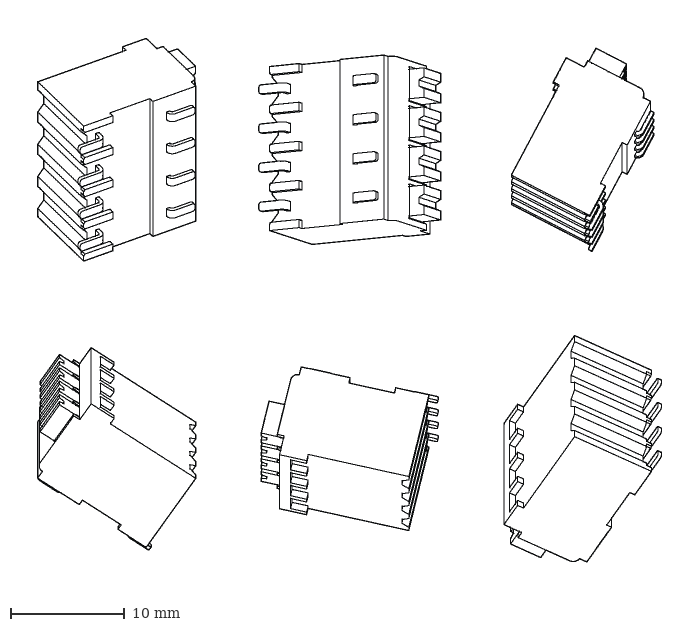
import cadquery as cq


POLES = 4
PITCH = 3.5
END_WALL = 0.7
ROW_LENGTH = POLES * PITCH + END_WALL
POLE_HEIGHTS = [END_WALL / 2 + PITCH * (i + 0.5) for i in range(POLES)]

OVERALL_WIDTH = 9.0
FLANGE_DEPTH = 0.6
HOUSING_RIGHT = 8.4
RELIEF_X = 7.9
RELIEF_BOTTOM = 3.0
RELIEF_TOP = 7.12
FLANGE_BOTTOM = 9.1
SHOULDER_Y = 11.55
CROWN_Y = 12.18
CROWN_LEFT = 1.8
CROWN_RADIUS = CROWN_Y - SHOULDER_Y
CROWN_RIGHT = 7.65

POCKET_WIDTH = 2.74
MOUTH_WIDTH = 3.12
BUTTON_MOUTH_DEPTH = 0.3
PIN_MOUTH_DEPTH = 0.12
FLANGE_POCKET_TOP = 10.55

GROOVE_MOUTH_WIDTH = 2.4
GROOVE_FLOOR_WIDTH = 1.0
GROOVE_DEPTH = 0.62

BUTTON_LEFT = 1.86
BUTTON_RIGHT = 4.92
BUTTON_TOP = 13.65
BUTTON_WIDTH = 2.64
NOTCH_MOUTH_WIDTH = 1.04
NOTCH_FLOOR_WIDTH = 0.54
NOTCH_DEPTH = 0.5

PIN_TIP_OVERHANG = 0.73
PIN_THICKNESS = 0.35
PIN_WIDTH = 0.82
PIN_BEND_RADIUS = 0.58
PIN_TIP_RADIUS = 0.25
LOWER_PIN_Y = 1.87
UPPER_PIN_Y = 8.53
UPPER_PIN_TIP_Y = 11.1
PIN_ROOT_X = RELIEF_X - 0.5


def box(x_range, y_range, z_range):
    """Axis-aligned box between the given limits."""
    size = [high - low for low, high in (x_range, y_range, z_range)]
    corner = (x_range[0], y_range[0], z_range[0])
    return cq.Workplane("XY").box(*size, centered=False).translate(corner)


def centred_range(centre, width):
    return (centre - width / 2, centre + width / 2)


def prism_along_x(points, x_range):
    """Extrude a (Y, Z) outline between two X positions."""
    start, end = x_range
    return cq.Workplane("YZ", origin=(start, 0, 0)).polyline(points).close().extrude(end - start)


def trapezoid_cut(z, mouth_y, mouth_width, floor_y, floor_width, x_range):
    """Prism along X whose width changes from its mouth to its floor."""
    points = [
        (mouth_y, z - mouth_width / 2),
        (mouth_y, z + mouth_width / 2),
        (floor_y, z + floor_width / 2),
        (floor_y, z - floor_width / 2),
    ]
    return prism_along_x(points, x_range)


def flared_pocket(z, mouth_y, mouth_depth, floor_y, x_range):
    """Straight pocket along Y whose mouth widens over the mouth depth."""
    inward = 1 if floor_y > mouth_y else -1
    throat_y = mouth_y + inward * mouth_depth
    flare = trapezoid_cut(z, mouth_y, MOUTH_WIDTH, throat_y, POCKET_WIDTH, x_range)
    y_range = (min(throat_y, floor_y), max(throat_y, floor_y))
    return flare.union(box(x_range, y_range, centred_range(z, POCKET_WIDTH)))


def housing():
    return (
        cq.Workplane("XY")
        .moveTo(FLANGE_DEPTH, 0)
        .lineTo(HOUSING_RIGHT, 0)
        .lineTo(HOUSING_RIGHT, RELIEF_BOTTOM)
        .lineTo(RELIEF_X, RELIEF_BOTTOM)
        .lineTo(RELIEF_X, RELIEF_TOP)
        .lineTo(HOUSING_RIGHT, RELIEF_TOP)
        .lineTo(HOUSING_RIGHT, SHOULDER_Y)
        .lineTo(CROWN_RIGHT, SHOULDER_Y)
        .radiusArc((CROWN_RIGHT - CROWN_RADIUS, CROWN_Y), -CROWN_RADIUS)
        .lineTo(CROWN_LEFT, CROWN_Y)
        .lineTo(CROWN_LEFT, SHOULDER_Y)
        .lineTo(0, SHOULDER_Y)
        .lineTo(0, FLANGE_BOTTOM)
        .lineTo(FLANGE_DEPTH, FLANGE_BOTTOM)
        .close()
        .extrude(ROW_LENGTH)
    )


def base_groove(z):
    return trapezoid_cut(
        z, 0, GROOVE_MOUTH_WIDTH, GROOVE_DEPTH, GROOVE_FLOOR_WIDTH, (FLANGE_DEPTH, RELIEF_X)
    )


def pin_pocket(z):
    """Opening around the lower pin, between the base and the relief."""
    return flared_pocket(z, 0, PIN_MOUTH_DEPTH, RELIEF_BOTTOM, (RELIEF_X, HOUSING_RIGHT))


def flange_pocket(z):
    return box(
        (0, FLANGE_DEPTH), (FLANGE_BOTTOM, FLANGE_POCKET_TOP), centred_range(z, POCKET_WIDTH)
    )


def button_pocket(z):
    return flared_pocket(
        z, CROWN_Y, BUTTON_MOUTH_DEPTH, SHOULDER_Y, (CROWN_LEFT, BUTTON_RIGHT)
    )


def button(z):
    x_range = (BUTTON_LEFT, BUTTON_RIGHT)
    body = box(x_range, (FLANGE_BOTTOM, BUTTON_TOP), centred_range(z, BUTTON_WIDTH))
    notch_floor = BUTTON_TOP - NOTCH_DEPTH
    notch = trapezoid_cut(
        z, BUTTON_TOP, NOTCH_MOUTH_WIDTH, notch_floor, NOTCH_FLOOR_WIDTH, x_range
    )
    return body.cut(notch)


def pin(z, root_y, tip_y):
    """Flat pin leaving the housing along X and bending towards its tip along Y.

    root_y is the face of the root on the outside of the bend.
    """
    direction = 1 if tip_y > root_y else -1
    inner_radius = PIN_BEND_RADIUS - PIN_THICKNESS
    bend_x = OVERALL_WIDTH - PIN_BEND_RADIUS
    bend_y = root_y + direction * PIN_BEND_RADIUS
    inner_x = OVERALL_WIDTH - PIN_THICKNESS
    inner_root_y = root_y + direction * PIN_THICKNESS
    return (
        cq.Workplane("XY", origin=(0, 0, z - PIN_WIDTH / 2))
        .moveTo(PIN_ROOT_X, root_y)
        .lineTo(bend_x, root_y)
        .radiusArc((OVERALL_WIDTH, bend_y), -direction * PIN_BEND_RADIUS)
        .lineTo(OVERALL_WIDTH, tip_y)
        .lineTo(inner_x, tip_y)
        .lineTo(inner_x, bend_y)
        .radiusArc((bend_x, inner_root_y), direction * inner_radius)
        .lineTo(PIN_ROOT_X, inner_root_y)
        .close()
        .extrude(PIN_WIDTH)
        .faces(">Y" if direction > 0 else "<Y")
        .edges("|X")
        .fillet(PIN_TIP_RADIUS)
    )


result = housing()
for pole_z in POLE_HEIGHTS:
    for pocket in (base_groove, pin_pocket, flange_pocket, button_pocket):
        result = result.cut(pocket(pole_z))
    result = result.union(button(pole_z))
    result = result.union(pin(pole_z, LOWER_PIN_Y, -PIN_TIP_OVERHANG))
    result = result.union(pin(pole_z, UPPER_PIN_Y, UPPER_PIN_TIP_Y))